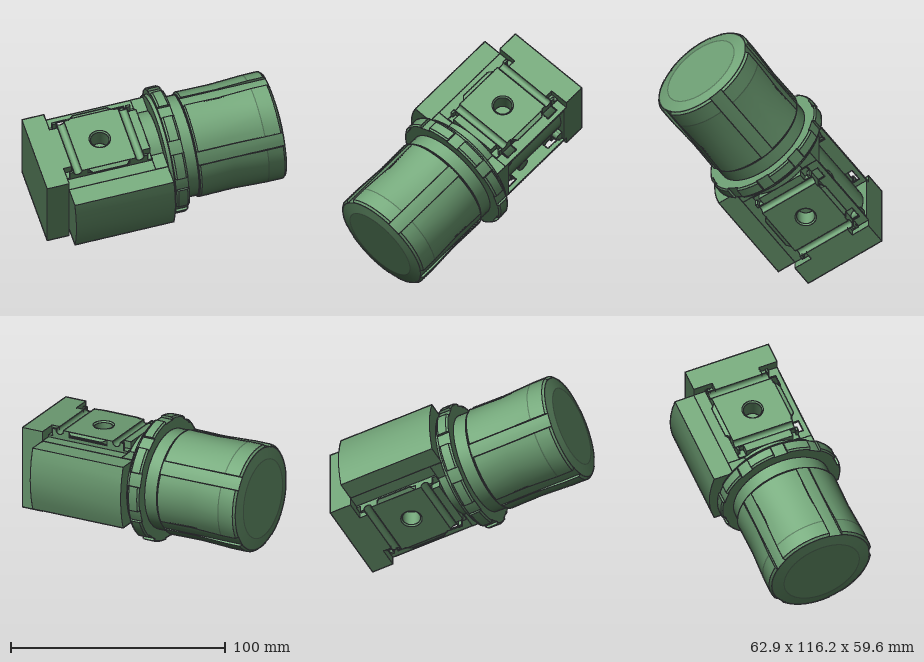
import cadquery as cq


total_length = 116.2

block_width = 42.0
block_height = 40.2
block_length = 58.7
front_length = 10.7
slab_height = 30.9
shoulder_slab_height = 31.1

recess_end_y = 52.7
pad_width = 30.5
port_diameter = 8.6
port_chamfer = 0.7
port_depth = 9.3
pad_groove_width = 3.8
pad_groove_axis_depth = 0.3
pad_groove_spacing = 30.1
corner_pocket_width = 3.5
corner_pocket_length = 3.8
corner_pocket_depth = 3.6
corner_post_width = 1.0
corner_post_length = 1.7
lip_length = 20.3
lip_overhang = 2.0
lip_end_taper = 1.9
lip_top_depth = 0.1
lip_nose_top_depth = 0.8
lip_nose_bottom_depth = 1.2
lip_throat_depth = 2.2
lip_foot_depth = 2.9
lip_foot_overhang = 0.3

window_length = 38.2
window_height = 29.0
window_center_y = 31.4
bowl_diameter = 37.9
latch_hole_width = 3.8
latch_hole_length = 6.0
latch_hole_spacing = 27.9
latch_hole_inner_x = -14.8
pin_diameter = 6.0
pin_y = 37.4
pin_z = -8.5
pin_end_x = -18.1
boss_radius = 2.2
boss_offset_y = 17.5
boss_offset_z = 11.0
boss_end_x = -19.6
boss_web_overlap = 0.5

cover_height = 30.7
cover_edge_x = 30.5
cover_crown_x = 32.9

flange_front_diameter = 54.0
flange_back_diameter = 54.5
flange_length = 1.7
nut_length = 6.2
nut_diameter = 57.5
nut_lug_diameter = 60.0
nut_lug_count = 10
nut_notch_width = 6.5
nut_chamfer_length = 0.9
nut_chamfer_depth = 0.6
neck_diameter = 48.0
neck_end_y = 72.9
neck_tip_diameter = 46.4
neck_tip_length = 0.3

knob_core_diameter = 48.8
knob_crown_diameter = 37.9
knob_rim_y = 115.1
knob_straight_y = 106.4
knob_diameter = 51.3
knob_waist_diameter = 49.7
knob_front_diameter = 50.2
knob_rim_chamfer_length = 1.0
knob_rim_chamfer_depth = 0.9
knob_front_chamfer = 0.8
knob_groove_count = 5
knob_groove_width = 6.6

half_width = block_width / 2
half_height = block_height / 2
half_slab = slab_height / 2
half_shoulder_slab = shoulder_slab_height / 2
half_pad = pad_width / 2
pad_center_y = (front_length + recess_end_y) / 2
nut_start_y = block_length + flange_length
nut_end_y = nut_start_y + nut_length
knob_start_y = neck_end_y + neck_tip_length


def box(x_range, y_range, z_range):
    """Box between pairs of limits along X, Y and Z."""
    (x0, x1), (y0, y1), (z0, z1) = x_range, y_range, z_range
    return cq.Workplane("XY").box(x1 - x0, y1 - y0, z1 - z0, centered=False).translate((x0, y0, z0))


def turned(profile):
    """Turn a closed (radius, y) profile around the Y axis."""
    return profile.close().revolve(360, (0, 0, 0), (0, 1, 0))


def rod_y(diameter, start_y, end_y):
    """Cylinder on the Y axis."""
    return cq.Workplane("XZ", origin=(0, start_y, 0)).circle(diameter / 2).extrude(start_y - end_y)


def rod_x(diameter, start_x, end_x, y, z):
    """Cylinder parallel to the X axis."""
    return cq.Workplane("YZ", origin=(start_x, y, z)).circle(diameter / 2).extrude(end_x - start_x)


def radial_bars(width, count, first_angle, inner_radius, outer_radius, y_range):
    """Evenly spaced radial bars around the Y axis, for cutting notches and grooves."""
    bars = cq.Workplane("XY")
    bar = box((inner_radius, outer_radius), y_range, (-width / 2, width / 2))
    for index in range(count):
        angle = first_angle + index * 360 / count
        bars = bars.add(bar.rotate((0, 0, 0), (0, 1, 0), angle))
    return bars.combine()


def corner_pocket():
    """Pocket with an edge post in the -X, -Y corner of the pad."""
    pocket = box(
        (-half_pad, -half_pad + corner_pocket_width),
        (front_length, front_length + corner_pocket_length),
        (half_height - corner_pocket_depth, half_height),
    )
    post_end_y = front_length + corner_pocket_length
    post = box(
        (-half_pad, -half_pad + corner_post_width),
        (post_end_y - corner_post_length, post_end_y),
        (half_slab, half_height),
    )
    return pocket.cut(post)


def pad_lip():
    """Beak-shaped lip on the -X edge of the pad, with tapered ends."""
    nose_top_z = half_height - lip_nose_top_depth
    nose_bottom_z = half_height - lip_nose_bottom_depth
    nose_x = -half_pad - lip_overhang
    half_length = lip_length / 2
    section = (
        cq.Workplane("XZ", origin=(0, pad_center_y + half_length, 0))
        .moveTo(-half_pad, half_height - lip_top_depth)
        .lineTo(nose_x, nose_top_z)
        .lineTo(nose_x, nose_bottom_z)
        .lineTo(-half_pad - lip_foot_overhang, half_height - lip_throat_depth)
        .lineTo(-half_pad, half_height - lip_foot_depth)
        .close()
        .extrude(lip_length)
    )
    outline = (
        cq.Workplane("XY")
        .polyline([
            (-half_pad, pad_center_y - half_length),
            (nose_x, pad_center_y - half_length + lip_end_taper),
            (nose_x, pad_center_y + half_length - lip_end_taper),
            (-half_pad, pad_center_y + half_length),
        ])
        .close()
        .extrude(half_height)
    )
    return section.intersect(outline)


def port_pad():
    pad = box((-half_pad, half_pad), (front_length, recess_end_y), (half_slab, half_height))
    pocket = corner_pocket()
    pad_center = (0, pad_center_y, 0)
    for feature in (pocket, pocket.mirror("XZ", pad_center)):
        pad = pad.cut(feature).cut(feature.mirror("YZ"))
    for side in (-1, 1):
        groove_y = pad_center_y + side * pad_groove_spacing / 2
        groove_z = half_height - pad_groove_axis_depth
        groove = rod_x(pad_groove_width, -half_pad, half_pad, groove_y, groove_z)
        mouth = box(
            (-half_pad, half_pad),
            (groove_y - pad_groove_width / 2, groove_y + pad_groove_width / 2),
            (groove_z, half_height),
        )
        pad = pad.cut(groove).cut(mouth)
    lip = pad_lip()
    return pad.union(lip).union(lip.mirror("YZ"))


def port_hole():
    """Blind port with a chamfered mouth in the top pad."""
    hole = (
        cq.Workplane("XY", origin=(0, pad_center_y, half_height))
        .circle(port_diameter / 2)
        .extrude(-port_depth)
    )
    mouth_radius = port_diameter / 2 + port_chamfer
    mouth = cq.Solid.makeCone(
        mouth_radius, port_diameter / 2, port_chamfer,
        pnt=cq.Vector(0, pad_center_y, half_height), dir=cq.Vector(0, 0, -1),
    )
    return hole.union(cq.Workplane(mouth))


def corner_boss():
    """Rounded boss in the upper back corner of the window."""
    center_y = window_center_y + boss_offset_y
    round_end = rod_x(2 * boss_radius, boss_end_x, 0, center_y, boss_offset_z)
    back_web = box(
        (boss_end_x, 0),
        (center_y, window_center_y + window_length / 2),
        (boss_offset_z - boss_radius, window_height / 2),
    )
    top_web = box(
        (boss_end_x, 0),
        (center_y - boss_web_overlap, window_center_y + window_length / 2),
        (boss_offset_z, window_height / 2),
    )
    return round_end.union(back_web).union(top_web)


def window():
    """Volume removed from the -X side: a pocket around the bowl, the pin and two corner bosses."""
    window_y = (window_center_y - window_length / 2, window_center_y + window_length / 2)
    pocket = box((-half_width, 0), window_y, (-window_height / 2, window_height / 2))
    pocket = pocket.cut(rod_y(bowl_diameter, *window_y))
    pocket = pocket.cut(rod_x(pin_diameter, pin_end_x, 0, pin_y, pin_z))
    boss = corner_boss()
    opposite_boss = boss.rotate((0, window_center_y, 0), (1, window_center_y, 0), 180)
    return pocket.cut(boss).cut(opposite_boss)


def latch_hole(side):
    """Rectangular hole through the wall above the window; side -1 is the front, 1 the back."""
    center_y = pad_center_y + side * latch_hole_spacing / 2
    return box(
        (latch_hole_inner_x - latch_hole_width, latch_hole_inner_x),
        (center_y - latch_hole_length / 2, center_y + latch_hole_length / 2),
        (window_height / 2, half_height),
    )


def cover():
    """Side cover with a crowned outer face."""
    half_cover = cover_height / 2
    return (
        cq.Workplane("XZ", origin=(0, front_length, 0))
        .moveTo(half_width, -half_cover)
        .lineTo(cover_edge_x, -half_cover)
        .threePointArc((cover_crown_x, 0), (cover_edge_x, half_cover))
        .lineTo(half_width, half_cover)
        .close()
        .extrude(front_length - block_length)
    )


def flange():
    return turned(
        cq.Workplane("XY")
        .moveTo(0, block_length)
        .lineTo(flange_front_diameter / 2, block_length)
        .lineTo(flange_back_diameter / 2, nut_start_y)
        .lineTo(0, nut_start_y)
    )


def ring_nut():
    """Nut with chamfered lugs, separated by parallel-sided notches."""
    lug_radius = nut_lug_diameter / 2
    face_radius = lug_radius - nut_chamfer_depth
    lugs = turned(
        cq.Workplane("XY")
        .moveTo(0, nut_start_y)
        .lineTo(face_radius, nut_start_y)
        .lineTo(lug_radius, nut_start_y + nut_chamfer_length)
        .lineTo(lug_radius, nut_end_y - nut_chamfer_length)
        .lineTo(face_radius, nut_end_y)
        .lineTo(0, nut_end_y)
    )
    half_pitch = 180 / nut_lug_count
    notches = radial_bars(
        nut_notch_width, nut_lug_count, half_pitch, neck_diameter / 2, nut_lug_diameter,
        (nut_start_y, nut_end_y),
    )
    return lugs.cut(notches).union(rod_y(nut_diameter, nut_start_y, nut_end_y))


def make_housing():
    x_range = (-half_width, half_width)
    front = box(x_range, (0, front_length), (-half_height, half_height))
    slab = box(x_range, (front_length, recess_end_y), (-half_slab, half_slab))
    shoulder_slab = box(x_range, (recess_end_y, block_length), (-half_shoulder_slab, half_shoulder_slab))
    shoulder = rod_y(block_height, recess_end_y, block_length)
    body = front.union(slab).union(shoulder_slab).union(shoulder)

    pad = port_pad()
    body = body.union(pad).union(pad.mirror("XY"))
    body = body.cut(window())
    openings = (port_hole(), latch_hole(-1), latch_hole(1))
    for opening in openings:
        body = body.cut(opening).cut(opening.mirror("XY"))

    neck = rod_y(neck_diameter, nut_end_y, neck_end_y)
    neck_tip = rod_y(neck_tip_diameter, neck_end_y, knob_start_y)
    for feature in (cover(), flange(), ring_nut(), neck, neck_tip):
        body = body.union(feature)
    return body


def knob_core():
    """Inner drum of the knob with a shallow conical crown."""
    return turned(
        cq.Workplane("XY")
        .moveTo(0, knob_start_y)
        .lineTo(knob_core_diameter / 2, knob_start_y)
        .lineTo(knob_core_diameter / 2, knob_rim_y)
        .lineTo(knob_crown_diameter / 2, total_length)
        .lineTo(0, total_length)
    )


def knob_grip():
    """Slightly waisted grip panels, separated by lengthwise grooves."""
    radius = knob_diameter / 2
    front_radius = knob_front_diameter / 2
    grip_front_y = knob_start_y + knob_front_chamfer
    panels = turned(
        cq.Workplane("XY")
        .moveTo(0, knob_start_y)
        .lineTo(front_radius - knob_front_chamfer, knob_start_y)
        .lineTo(front_radius, grip_front_y)
        .threePointArc(
            (knob_waist_diameter / 2, (grip_front_y + knob_straight_y) / 2),
            (radius, knob_straight_y),
        )
        .lineTo(radius, knob_rim_y - knob_rim_chamfer_length)
        .lineTo(radius - knob_rim_chamfer_depth, knob_rim_y)
        .lineTo(0, knob_rim_y)
    )
    grooves = radial_bars(
        knob_groove_width, knob_groove_count, 180, neck_tip_diameter / 2, knob_diameter,
        (knob_start_y, knob_rim_y),
    )
    return panels.cut(grooves)


def make_knob():
    return knob_grip().union(knob_core())


housing = make_housing()
knob = make_knob()
result = cq.Compound.makeCompound([housing.solids().val(), knob.solids().val()])